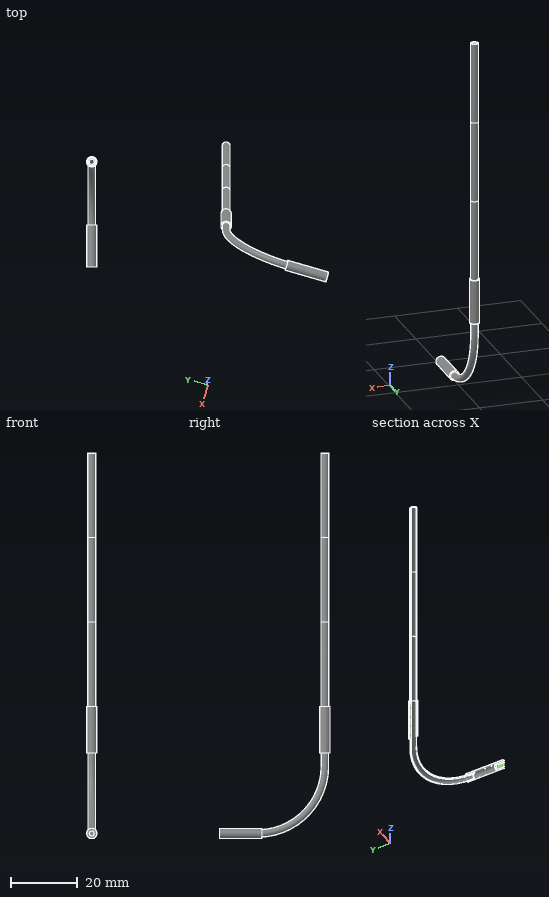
import cadquery as cq

total_height = 115.8
total_reach = 33.2
segment_diameter = 2.4
bent_tube_diameter = 2.3
bore_diameter = 1.5
sleeve_diameter = 3.1

segment_count = 3
segment_length = 25.4

upper_sleeve_length = 14.0
tip_sleeve_length = 12.7
tip_insertion = 2.3
tip_core_length = 2.8
tip_core_diameter = 1.5

tip_axis_height = sleeve_diameter / 2
upper_sleeve_top = total_height - segment_count * segment_length
upper_sleeve_bottom = upper_sleeve_top - upper_sleeve_length
bend_radius = 20.1
bend_start_height = tip_axis_height + bend_radius
tip_end_y = -(total_reach - sleeve_diameter / 2)
tip_sleeve_start_y = tip_end_y + tip_sleeve_length
tube_end_y = tip_sleeve_start_y - tip_insertion


def straight_segment(bottom):
    return (
        cq.Workplane("XY", origin=(0, 0, bottom))
        .circle(segment_diameter / 2)
        .circle(bore_diameter / 2)
        .extrude(segment_length)
    )


def make_upper_sleeve():
    return (
        cq.Workplane("XY", origin=(0, 0, upper_sleeve_bottom))
        .circle(sleeve_diameter / 2)
        .circle(bent_tube_diameter / 2)
        .extrude(upper_sleeve_length)
    )


def make_bent_tube():
    path = (
        cq.Workplane("YZ")
        .moveTo(0, upper_sleeve_top)
        .lineTo(0, bend_start_height)
        .radiusArc((-bend_radius, tip_axis_height), bend_radius)
        .lineTo(tube_end_y, tip_axis_height)
    )
    return (
        cq.Workplane("XY", origin=(0, 0, upper_sleeve_top))
        .circle(bent_tube_diameter / 2)
        .circle(bore_diameter / 2)
        .sweep(path)
    )


def forward_cylinder(diameter, start_y, length):
    return (
        cq.Workplane("XZ", origin=(0, start_y, tip_axis_height))
        .circle(diameter / 2)
        .extrude(length)
    )


def make_tip_sleeve():
    rear_bore = forward_cylinder(bent_tube_diameter, tip_sleeve_start_y, tip_sleeve_length - tip_core_length)
    core_pocket = forward_cylinder(tip_core_diameter, tip_end_y + tip_core_length, tip_core_length)
    sleeve = forward_cylinder(sleeve_diameter, tip_sleeve_start_y, tip_sleeve_length)
    return sleeve.cut(rear_bore).cut(core_pocket)


segments = [
    straight_segment(upper_sleeve_top + index * segment_length)
    for index in range(segment_count)
]
upper_sleeve = make_upper_sleeve()
bent_tube = make_bent_tube()
tip_sleeve = make_tip_sleeve()
tip_core = forward_cylinder(tip_core_diameter, tip_end_y + tip_core_length, tip_core_length)

result = cq.Compound.makeCompound([
    *[segment.val() for segment in segments],
    upper_sleeve.val(),
    bent_tube.val(),
    tip_sleeve.val(),
    tip_core.val(),
])